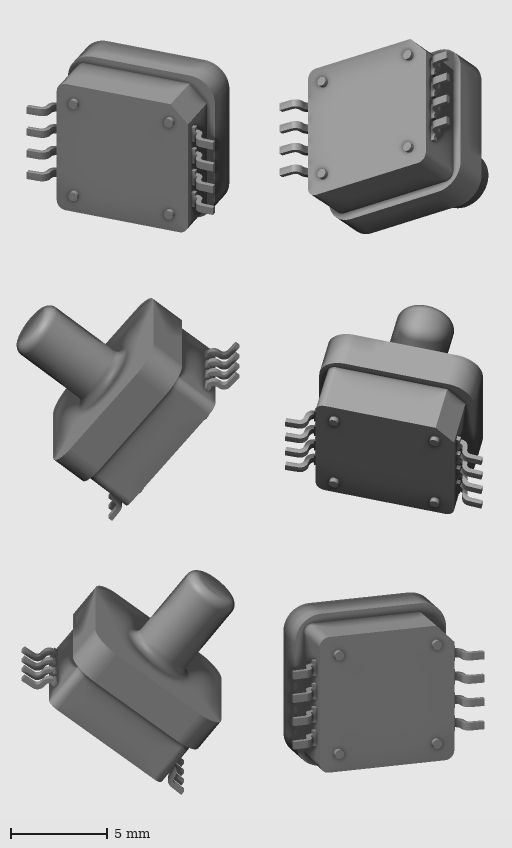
import cadquery as cq
import math


lead_seat_gap = 0.35
base_height = 2.57
cap_thickness = 1.92
total_height = 9.65

base_width = 7.38
base_draft = 0.5
base_corner_radius = 0.5
base_corner_chamfer = 0.98
peg_diameter = 0.5
peg_height = 0.25
peg_spacing = 5.37

cap_width = 8.26
cap_corner_radius = 1.4
port_diameter = 3.05
port_tip_radius = 0.5
port_root_radius = 0.48

leads_per_side = 4
lead_pitch = 1.27
lead_span = 10.47
lead_thickness = 0.25
lead_width = 0.41
lead_top = 1.075
shoulder_width = 0.83
shoulder_reach = 0.2
leg_lean = 6.0
foot_slope = 2.5
outer_bend_radius = 0.45
inner_bend_radius = 0.26

base_bottom = lead_seat_gap
base_top = base_bottom + base_height
cap_top = base_top + cap_thickness


def plane_facing_y(height):
    """Sketch plane at the given Y, with local x along X and local y along Z, extruding towards -Y."""
    return cq.Workplane("XZ", origin=(0, height, 0))


def make_base():
    half = base_width / 2
    straight = half - base_corner_radius
    arc_mid = half - base_corner_radius * (1 - math.sqrt(0.5))
    block = (
        plane_facing_y(base_bottom)
        .moveTo(-straight, half)
        .lineTo(half - base_corner_chamfer, half)
        .lineTo(half, half - base_corner_chamfer)
        .lineTo(half, -straight)
        .threePointArc((arc_mid, -arc_mid), (straight, -half))
        .lineTo(-straight, -half)
        .threePointArc((-arc_mid, -arc_mid), (-half, -straight))
        .lineTo(-half, straight)
        .threePointArc((-arc_mid, arc_mid), (-straight, half))
        .close()
        .extrude(-base_height, taper=base_draft)
    )
    pegs = (
        plane_facing_y(base_bottom)
        .rect(peg_spacing, peg_spacing, forConstruction=True)
        .vertices()
        .circle(peg_diameter / 2)
        .extrude(peg_height)
    )
    return block.union(pegs).solids()


def make_cap():
    plate = plane_facing_y(base_top).rect(cap_width, cap_width).extrude(-cap_thickness)
    plate = plate.edges("|Y").fillet(cap_corner_radius)
    port = plane_facing_y(cap_top).circle(port_diameter / 2).extrude(-(total_height - cap_top))
    port = port.faces(">Y").edges().fillet(port_tip_radius)
    root = plate.union(port).edges(cq.selectors.NearestToPointSelector((0, cap_top, 0)))
    return root.fillet(port_root_radius).solids()


def make_lead(base):
    """One lead on the +X side, centred on Z = 0 and ending against the side of the base."""
    lean = math.tan(math.radians(leg_lean))
    slope = math.tan(math.radians(foot_slope))
    leg_run = lead_thickness / math.cos(math.radians(leg_lean))
    foot_rise = lead_thickness / math.cos(math.radians(foot_slope))
    tip = lead_span / 2
    root = base_width / 2 - shoulder_reach
    shoulder_end = base_width / 2 + shoulder_reach
    underside = lead_top - lead_thickness

    first_turn = math.radians(90 - leg_lean)
    leg_start = shoulder_end + outer_bend_radius * math.tan(first_turn / 2)

    def outer_leg(y):
        return leg_start + (lead_top - y) * lean

    def leg_meets_foot(leg_x, foot_tip_y):
        x = (leg_x + (lead_top - foot_tip_y - tip * slope) * lean) / (1 - slope * lean)
        return x, foot_tip_y + (tip - x) * slope

    upper_outer = (leg_start, lead_top)
    upper_inner = (outer_leg(underside) - leg_run, underside)
    lower_inner = leg_meets_foot(leg_start, foot_rise)
    lower_outer = leg_meets_foot(leg_start - leg_run, 0)

    strip = (
        cq.Workplane("XY")
        .polyline([(root, lead_top), upper_outer, lower_inner, (tip, foot_rise),
                   (tip, 0), lower_outer, upper_inner, (root, underside)])
        .close()
        .extrude(shoulder_width / 2, both=True)
    )
    bends = [
        (upper_outer, outer_bend_radius),
        (upper_inner, inner_bend_radius),
        (lower_inner, inner_bend_radius),
        (lower_outer, outer_bend_radius),
    ]
    for corner, radius in bends:
        strip = strip.edges(cq.selectors.NearestToPointSelector((*corner, 0))).fillet(radius)

    trim_length = tip - shoulder_end
    trim_width = (shoulder_width - lead_width) / 2
    trim_z = (lead_width + trim_width) / 2
    for side in (-1, 1):
        trim = cq.Workplane("XY").box(trim_length, 2 * lead_top, trim_width)
        strip = strip.cut(trim.translate((shoulder_end + trim_length / 2, lead_top / 2, side * trim_z)))
    return strip.cut(base).solids()


base = make_base()
cap = make_cap()
lead = make_lead(base)

leads = []
for index in range(leads_per_side):
    z = (index - (leads_per_side - 1) / 2) * lead_pitch
    right_lead = lead.translate((0, 0, z))
    left_lead = right_lead.mirror("YZ")
    leads.extend([right_lead.val(), left_lead.val()])

result = cq.Compound.makeCompound([base.val(), cap.val(), *leads])